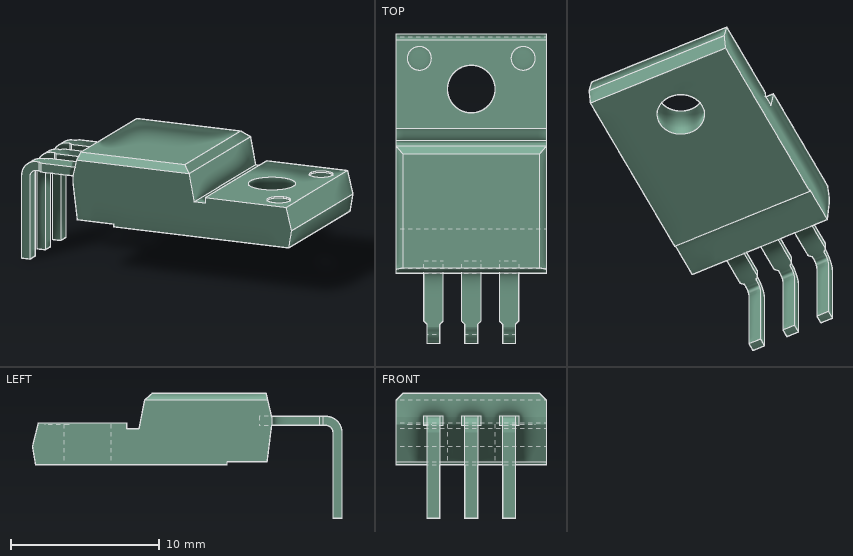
import cadquery as cq


BODY_WIDTH = 10.15
BODY_HEIGHT = 4.83
BACK_TIP_Y = 16.15
BACK_TIP_Z = 1.23
BACK_TOP_Y = 15.75
BACK_BOTTOM_Y = 15.94
TAB_HEIGHT = 2.82
GROOVE_BACK_Y = 9.78
GROOVE_FRONT_Y = 8.96
GROOVE_DEPTH = 0.38
SHOULDER_Y = 8.59
BACK_BEVEL_LENGTH = 0.52
BEVEL = 0.45
FRONT_TOP_Y = 0.38
FRONT_BOTTOM_Y = 0.31
FRONT_FLAT_TOP = 3.22
FRONT_FLAT_BOTTOM = 2.7
RELIEF_LENGTH = 3.0
RELIEF_HEIGHT = 0.19

HOLE_DIAMETER = 3.2
HOLE_Y = 12.43
MARK_DIAMETER = 1.6
MARK_SPACING = 7.0
MARK_Y = 14.5
MARK_DEPTH = 0.1

LEAD_COUNT = 3
LEAD_PITCH = 2.55
LEAD_THICKNESS = 0.63
LEAD_TOP = 3.28
LEAD_TIP_Z = BODY_HEIGHT - 8.45
LEAD_FRONT_Y = BACK_TIP_Y - 20.9
LEAD_BEND_RADIUS = 1.1
LEAD_EMBED = 0.84
LEAD_WIDE = 1.32
LEAD_NARROW = 0.88
TAPER_START_Y = -3.22


def make_blank():
    """Side profile of the tab and the moulded block, extruded across the width."""
    groove_floor = TAB_HEIGHT - GROOVE_DEPTH
    profile = [
        (BACK_BOTTOM_Y, 0),
        (BACK_TIP_Y, BACK_TIP_Z),
        (BACK_TOP_Y, TAB_HEIGHT),
        (GROOVE_BACK_Y, TAB_HEIGHT),
        (GROOVE_BACK_Y, groove_floor),
        (GROOVE_FRONT_Y, groove_floor),
        (SHOULDER_Y, BODY_HEIGHT - BEVEL),
        (SHOULDER_Y - BACK_BEVEL_LENGTH, BODY_HEIGHT),
        (FRONT_TOP_Y, BODY_HEIGHT),
        (0, FRONT_FLAT_TOP),
        (0, FRONT_FLAT_BOTTOM),
        (FRONT_BOTTOM_Y, RELIEF_HEIGHT),
        (RELIEF_LENGTH, RELIEF_HEIGHT),
        (RELIEF_LENGTH, 0),
    ]
    return cq.Workplane("YZ").polyline(profile).close().extrude(BODY_WIDTH / 2, both=True)


def bevel_wedge(side):
    """Corner removed along the top edge; side is -1 for left and +1 for right."""
    edge = side * BODY_WIDTH / 2
    corner = [
        (edge, BODY_HEIGHT - BEVEL),
        (edge, BODY_HEIGHT),
        (edge - side * BEVEL, BODY_HEIGHT),
    ]
    return cq.Workplane("XZ").polyline(corner).close().extrude(-BACK_TIP_Y)


def make_lead(x):
    """Bent strip, narrowed to a slimmer shank just before the bend."""
    inner_radius = LEAD_BEND_RADIUS - LEAD_THICKNESS
    bend_y = LEAD_FRONT_Y + LEAD_BEND_RADIUS
    bend_z = LEAD_TOP - LEAD_BEND_RADIUS
    strip = (
        cq.Workplane("YZ")
        .moveTo(LEAD_EMBED, LEAD_TOP)
        .lineTo(bend_y, LEAD_TOP)
        .radiusArc((LEAD_FRONT_Y, bend_z), -LEAD_BEND_RADIUS)
        .lineTo(LEAD_FRONT_Y, LEAD_TIP_Z)
        .lineTo(LEAD_FRONT_Y + LEAD_THICKNESS, LEAD_TIP_Z)
        .lineTo(LEAD_FRONT_Y + LEAD_THICKNESS, bend_z)
        .radiusArc((bend_y, LEAD_TOP - LEAD_THICKNESS), inner_radius)
        .lineTo(LEAD_EMBED, LEAD_TOP - LEAD_THICKNESS)
        .close()
        .extrude(LEAD_WIDE / 2, both=True)
    )
    taper_end_y = TAPER_START_Y - (LEAD_WIDE - LEAD_NARROW) / 2
    half_outline = [
        (0, LEAD_EMBED),
        (LEAD_WIDE / 2, LEAD_EMBED),
        (LEAD_WIDE / 2, TAPER_START_Y),
        (LEAD_NARROW / 2, taper_end_y),
        (LEAD_NARROW / 2, LEAD_FRONT_Y),
        (0, LEAD_FRONT_Y),
    ]
    plan = (
        cq.Workplane("XY", origin=(0, 0, LEAD_TIP_Z))
        .polyline(half_outline)
        .mirrorY()
        .extrude(LEAD_TOP - LEAD_TIP_Z)
    )
    return strip.intersect(plan).translate((x, 0, 0))


def make_body(leads):
    """Moulded body with tab hole, ejector marks and a matching socket for each lead."""
    body = make_blank()
    for side in (-1, 1):
        body = body.cut(bevel_wedge(side))

    hole = cq.Workplane("XY").center(0, HOLE_Y).circle(HOLE_DIAMETER / 2).extrude(TAB_HEIGHT)
    marks = (
        cq.Workplane("XY", origin=(0, MARK_Y, TAB_HEIGHT))
        .pushPoints([(-MARK_SPACING / 2, 0), (MARK_SPACING / 2, 0)])
        .circle(MARK_DIAMETER / 2)
        .extrude(-MARK_DEPTH)
    )
    body = body.cut(hole).cut(marks)

    for lead in leads:
        body = body.cut(lead)
    return body


leads = []
for index in range(LEAD_COUNT):
    lead_x = (index - (LEAD_COUNT - 1) / 2) * LEAD_PITCH
    leads.append(make_lead(lead_x))

body = make_body(leads)

result = cq.Compound.makeCompound([body.val(), *[lead.val() for lead in leads]])